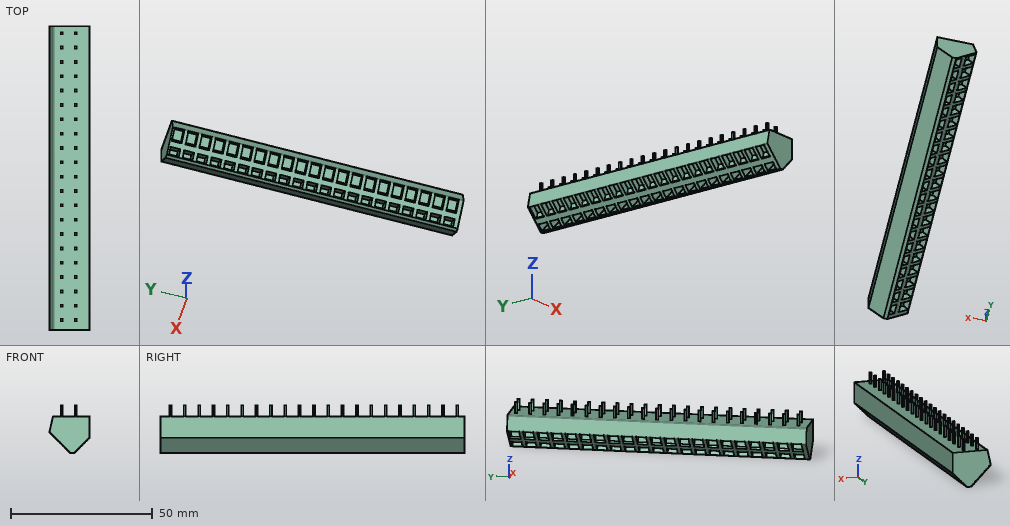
import cadquery as cq
import math

pole_count = 21
pole_pitch = 5.08
end_cover = 1.0
block_length = pole_count * pole_pitch + end_cover

housing_height = 13.0
housing_width = 14.3
ridge_height = 7.45
ridge_tilt = math.radians(13)
front_slope = math.radians(45)
overhang = (housing_height - ridge_height) * math.tan(ridge_tilt)
back_corner_height = 5.45
edge_radius = 0.3

pin_length = 4.0
pin_thickness = 0.65
pin_width = 0.8
pin_row_spacing = 5.0
first_pin_row = 4.4

opening_width = 3.65
upper_mouth_bottom = 3.8
upper_mouth_top = 7.25
upper_step_height = 4.45
upper_floor_height = 6.4
lower_mouth_bottom = 0.25
lower_mouth_top = 2.2
lower_opening_depth = 5.0

pole_positions = [end_cover + (i + 0.5) * pole_pitch for i in range(pole_count)]


def extrude_along_y(points, y_start, length):
    """Prism of an XZ outline running from y_start towards +Y."""
    return cq.Workplane("XZ", origin=(0, y_start, 0)).polyline(points).close().extrude(-length)


def make_housing():
    outline = [
        (0, ridge_height),
        (overhang, housing_height),
        (housing_width, housing_height),
        (housing_width, back_corner_height),
        (housing_width - back_corner_height, 0),
        (ridge_height, 0),
    ]
    block = extrude_along_y(outline, 0, block_length)
    for corner_x, corner_z in outline[:2]:
        middle_of_edge = (corner_x, block_length / 2, corner_z)
        block = block.edges(cq.selectors.NearestToPointSelector(middle_of_edge)).fillet(edge_radius)
    return block


def on_slope(height):
    """Point of the front slope at the given height."""
    return (ridge_height - height, height)


def into_slope(point, run):
    """Point moved square into the front slope, by run along both X and Z."""
    return (point[0] + run, point[1] + run)


def upper_opening(y):
    """Pocket whose lower wall steepens to the ridge tilt before a floor parallel to the slope."""
    mouth_bottom = on_slope(upper_mouth_bottom)
    mouth_top = on_slope(upper_mouth_top)
    step = into_slope(mouth_bottom, upper_step_height - upper_mouth_bottom)
    rise = upper_floor_height - upper_step_height
    floor_bottom = (step[0] + rise * math.tan(ridge_tilt), upper_floor_height)
    floor_run = (floor_bottom[0] + floor_bottom[1] - ridge_height) / 2
    floor_top = into_slope(mouth_top, floor_run)
    outline = [mouth_bottom, step, floor_bottom, floor_top, mouth_top]
    return extrude_along_y(outline, y - opening_width / 2, opening_width)


def lower_opening(y):
    """Plain rectangular pocket cut square into the slope near the tip."""
    run = lower_opening_depth * math.sin(front_slope)
    mouth_bottom = on_slope(lower_mouth_bottom)
    mouth_top = on_slope(lower_mouth_top)
    outline = [mouth_bottom, into_slope(mouth_bottom, run), into_slope(mouth_top, run), mouth_top]
    return extrude_along_y(outline, y - opening_width / 2, opening_width)


def pin(x, y):
    return (
        cq.Workplane("XY", origin=(x, y, housing_height))
        .rect(pin_thickness, pin_width)
        .extrude(pin_length)
    )


result = make_housing()
for pole_y in pole_positions:
    result = result.cut(upper_opening(pole_y)).cut(lower_opening(pole_y))
    for pin_x in (first_pin_row, first_pin_row + pin_row_spacing):
        result = result.union(pin(pin_x, pole_y))